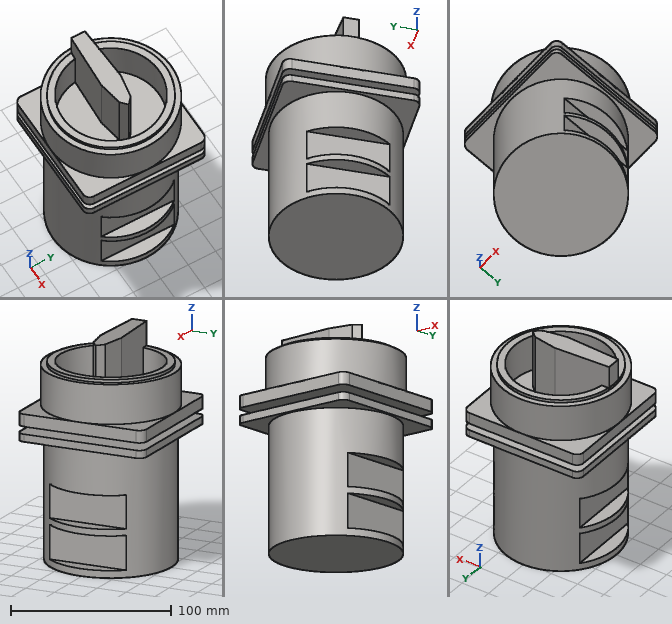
import cadquery as cq

total_height = 145.0
plate_side = 88.0
corner_radius = 5.0

body_radius = 42.0
body_top = 83.0
base_plate_top = 88.0
flat_distance = 32.5
flat_spans = [(5.0, 27.5), (31.9, 54.0)]

shaft_radius = 5.0

handle_bottom = 93.0
handle_plate_top = 101.0
dial_radius = plate_side / 2
dial_top = 127.0
rim_radius = 40.0
rim_top = 129.0
recess_radius = 35.0
recess_floor = 103.1

pointer_tail_x = -rim_radius
pointer_tail_half_width = 5.1
pointer_middle_half_width = 7.1
pointer_shoulder_x = 16.8
pointer_shoulder_half_width = 4.2
pointer_tip_x = 21.5


def cylinder(radius, bottom, top):
    return cq.Workplane("XY", origin=(0, 0, bottom)).circle(radius).extrude(top - bottom)


def square_plate(bottom, top):
    plate = cq.Workplane("XY", origin=(0, 0, bottom)).rect(plate_side, plate_side).extrude(top - bottom)
    return plate.edges("|Z").fillet(corner_radius)


def flat_cut(side, bottom, top):
    """Block that cuts one flat; side is -1 for -X and 1 for +X."""
    depth = body_radius - flat_distance
    block = cq.Workplane("XY", origin=(side * (flat_distance + depth / 2), 0, bottom))
    return block.rect(depth, 2 * body_radius).extrude(top - bottom)


def pointer(bottom, top):
    right_half = [
        (pointer_tail_x, -pointer_tail_half_width),
        (0, -pointer_middle_half_width),
        (pointer_shoulder_x, -pointer_shoulder_half_width),
        (pointer_tip_x, 0),
    ]
    left_half = [(x, -y) for x, y in reversed(right_half[:-1])]
    outline = cq.Workplane("XY", origin=(0, 0, bottom)).polyline(right_half + left_half).close()
    return outline.extrude(top - bottom)


def make_switch():
    body = cylinder(body_radius, 0, body_top)
    for bottom, top in flat_spans:
        for side in (-1, 1):
            body = body.cut(flat_cut(side, bottom, top))
    body = body.union(square_plate(body_top, base_plate_top))
    return body.union(cylinder(shaft_radius, base_plate_top, handle_bottom))


def make_handle():
    handle = square_plate(handle_bottom, handle_plate_top)
    handle = handle.union(cylinder(dial_radius, handle_plate_top, dial_top))
    handle = handle.union(cylinder(rim_radius, dial_top, rim_top))
    handle = handle.cut(cylinder(recess_radius, recess_floor, rim_top))

    web = pointer(recess_floor, rim_top).intersect(cylinder(rim_radius, recess_floor, rim_top))
    return handle.union(web).union(pointer(rim_top, total_height))


switch = make_switch()
handle = make_handle()

result = cq.Compound.makeCompound([switch.val(), handle.val()])